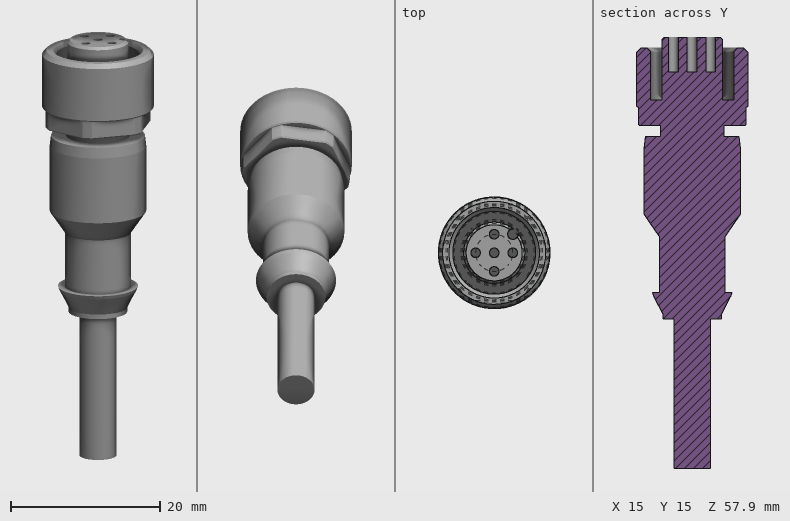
import cadquery as cq
import math

total_height = 57.9
post_top = total_height
collar_top = post_top - 1.45
collar_bottom = post_top - 9.45
hex_bottom = post_top - 11.9
body_top = post_top - 13.3
body_taper_end = body_top - 1.45
body_bottom = post_top - 23.8
sleeve_top = post_top - 26.75
flange_top = post_top - 34.3
flange_edge_bottom = flange_top - 0.45
flange_cone_bottom = post_top - 37.25
flange_bottom = post_top - 37.85

cable_radius = 2.5
flange_end_radius = 3.95
flange_edge_radius = 5.2
flange_radius = 5.4
sleeve_radius = 4.45
body_radius = 6.5
body_top_radius = 6.3
neck_radius = 4.3

collar_diameter = 15.0
collar_radius = collar_diameter / 2
collar_chamfer = 0.6
small_chamfer = 0.2
bore_radius = 5.55
bore_chamfer = 0.5
bore_depth = 6.95
hex_across_flats = 13.15
hex_corner_radius = 7.25

post_radius = 4.1
post_chamfer = 0.35
socket_radius = 0.65
socket_circle_radius = 2.5
socket_depth = 4.65
key_offset = 3.55
key_radius = 0.7
key_angle = 45


def make_body():
    """Revolve the cable, strain-relief flange, sleeve, grip body and neck."""
    profile = [
        (0, 0),
        (cable_radius, 0),
        (cable_radius, flange_bottom),
        (flange_end_radius, flange_bottom),
        (flange_end_radius, flange_cone_bottom),
        (flange_edge_radius, flange_edge_bottom),
        (flange_radius, flange_top),
        (sleeve_radius, flange_top),
        (sleeve_radius, sleeve_top),
        (body_radius, body_bottom),
        (body_radius, body_taper_end),
        (body_top_radius, body_top),
        (neck_radius, body_top),
        (neck_radius, hex_bottom),
        (0, hex_bottom),
    ]
    return cq.Workplane("XZ").polyline(profile).close().revolve(360, (0, 0), (0, 1))


def make_collar():
    """Round collar with a chamfered blind bore, open at the top."""
    bore_floor = collar_top - bore_depth
    collar = (
        cq.Workplane("XY", origin=(0, 0, collar_bottom))
        .circle(collar_radius)
        .extrude(collar_top - collar_bottom)
        .faces(">Z")
        .chamfer(collar_chamfer)
        .faces("<Z")
        .chamfer(small_chamfer)
    )
    bore = cq.Workplane("XY", origin=(0, 0, bore_floor)).circle(bore_radius).extrude(bore_depth)
    rim = collar.cut(bore).faces(">Z").edges(cq.selectors.RadiusNthSelector(0))
    return rim.chamfer(bore_chamfer)


def make_hex_grip():
    """Hexagon with corners along X, trimmed by a cylinder and chamfered below."""
    height = collar_bottom - hex_bottom
    corner_diameter = hex_across_flats / math.cos(math.radians(30))
    plane = cq.Workplane("XY", origin=(0, 0, hex_bottom))
    hexagon = plane.polygon(6, corner_diameter).extrude(height)
    trim = plane.circle(hex_corner_radius).extrude(height)
    return hexagon.intersect(trim).faces("<Z").chamfer(small_chamfer)


def make_post():
    """Contact post rising from the bore floor, with five sockets and a keyway."""
    post_height = post_top - (collar_top - bore_depth)
    post = (
        cq.Workplane("XY", origin=(0, 0, post_top - post_height))
        .circle(post_radius)
        .extrude(post_height)
        .faces(">Z")
        .chamfer(post_chamfer)
    )
    top_plane = cq.Workplane("XY", origin=(0, 0, post_top))
    sockets = (
        top_plane.polarArray(socket_circle_radius, 0, 360, 4)
        .circle(socket_radius)
        .extrude(-socket_depth)
    )
    center_socket = top_plane.circle(socket_radius).extrude(-socket_depth)
    keyway = (
        top_plane.polarArray(key_offset, key_angle, 360, 1)
        .circle(key_radius)
        .extrude(-post_height)
    )
    return post.cut(sockets).cut(center_socket).cut(keyway)


result = make_body().union(make_hex_grip()).union(make_collar()).union(make_post())